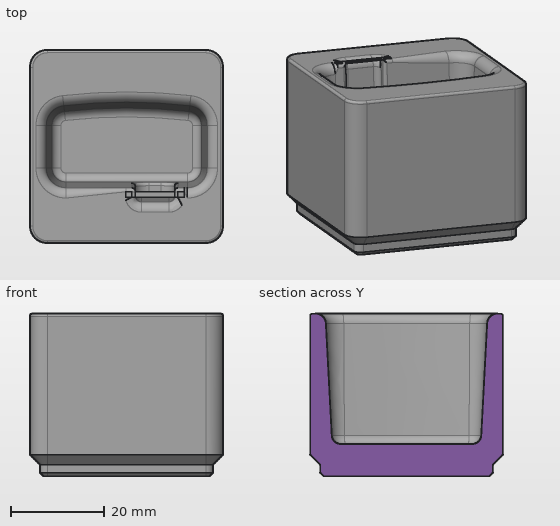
import cadquery as cq
import math

SIDE = 41.5
HEIGHT = 35.0
CORNER_R = 3.75
TOP_EDGE_R = 0.6
FOOT_CHAMFER = 0.8
FOOT_TOP_Z = 2.55
BODY_BOTTOM_Z = 4.7
FOOT_INSET = BODY_BOTTOM_Z - FOOT_TOP_Z

RIM_R = 2.2

DRAFT = 3.0
POCKET_FLOOR_Z = 7.0
POCKET_DEPTH = HEIGHT - POCKET_FLOOR_Z
POCKET_CORNER_R = 4.35
POCKET_CORNER_X = 13.05
POCKET_CORNER_Y = 4.55
BACK_BOW = 0.75
POCKET_FLOOR_R = 1.9
POCKET_FRONT_Y = -POCKET_CORNER_Y - POCKET_CORNER_R

NOTCH_X = 6.1
NOTCH_WIDTH = 8.45
NOTCH_FRONT_Y = -11.95
NOTCH_CORNER_R = 1.3
NOTCH_BOTTOM_Z = 11.6
NOTCH_BOTTOM_R = 2.95
WINDOW_EDGE_R = 0.7

BAR_LENGTH = 12.55
BAR_WIDTH = 1.2
BAR_BACK_Y = -9.65
BAR_FRONT_Y = BAR_BACK_Y - BAR_WIDTH
BAR_THICKNESS = 0.2
BAR_END_LENGTH = 1.33
BAR_END_DEPTH = 0.1
BAR_LEFT_X = NOTCH_X - BAR_LENGTH / 2
BAR_RIGHT_X = NOTCH_X + BAR_LENGTH / 2

NOTCH_RIM_LEFT_X = 1.1
NOTCH_RIM_RIGHT_X = 11.0
NOTCH_RIM_LEFT_SLANT = 0.65
NOTCH_RIM_RIGHT_SLANT = 2.57

NARROW_RIM = POCKET_FRONT_Y - BAR_BACK_Y


def box_between(x0, x1, y0, y1, z0, z1):
    corner = cq.Vector(x0, y0, z0)
    return cq.Workplane(cq.Solid.makeBox(x1 - x0, y1 - y0, z1 - z0, corner))


def rounded_square(side, radius, z, height):
    square = cq.Workplane("XY", origin=(0, 0, z)).rect(side, side).extrude(height)
    return square.edges("|Z").fillet(radius)


def make_body():
    foot_side = SIDE - 2 * FOOT_INSET
    foot_r = CORNER_R - FOOT_INSET
    foot = rounded_square(foot_side, foot_r, 0, BODY_BOTTOM_Z)
    foot = foot.faces("<Z").chamfer(FOOT_CHAMFER)
    block = rounded_square(SIDE, CORNER_R, FOOT_TOP_Z, HEIGHT - FOOT_TOP_Z)
    block = block.faces("<Z").chamfer(FOOT_INSET)
    block = block.faces(">Z").edges().fillet(TOP_EDGE_R)
    return foot.union(block)


def pocket_solid():
    """Pocket outline at the top face, drafted inward down to the floor."""
    r = POCKET_CORNER_R
    cx = POCKET_CORNER_X
    cy = POCKET_CORNER_Y
    bow_angle = 2 * math.atan(BACK_BOW / cx)
    back_x = cx + r * math.sin(bow_angle)
    back_y = cy + r * math.cos(bow_angle)
    mid_angle = (math.pi / 2 + bow_angle) / 2
    mid_x = cx + r * math.sin(mid_angle)
    mid_y = cy + r * math.cos(mid_angle)
    mid_front = r * math.sqrt(0.5)
    outline = (
        cq.Workplane("XY", origin=(0, 0, HEIGHT))
        .moveTo(-cx, -cy - r)
        .lineTo(cx, -cy - r)
        .threePointArc((cx + mid_front, -cy - mid_front), (cx + r, -cy))
        .lineTo(cx + r, cy)
        .threePointArc((mid_x, mid_y), (back_x, back_y))
        .threePointArc((0, cy + BACK_BOW + r), (-back_x, back_y))
        .threePointArc((-mid_x, mid_y), (-cx - r, cy))
        .lineTo(-cx - r, -cy)
        .threePointArc((-cx - mid_front, -cy - mid_front), (-cx, -cy - r))
        .close()
    )
    return outline.extrude(-POCKET_DEPTH, taper=DRAFT)


def notch_solid():
    """U profile with a drafted front end that opens into the pocket."""
    depth = HEIGHT - NOTCH_BOTTOM_Z
    left_x = NOTCH_X - NOTCH_WIDTH / 2
    right_x = NOTCH_X + NOTCH_WIDTH / 2
    open_y = POCKET_FRONT_Y + RIM_R
    front_bottom_y = NOTCH_FRONT_Y + depth * math.tan(math.radians(DRAFT))
    slot = (
        cq.Workplane("YZ", origin=(left_x, 0, 0))
        .moveTo(NOTCH_FRONT_Y, HEIGHT)
        .lineTo(open_y, HEIGHT)
        .lineTo(open_y, NOTCH_BOTTOM_Z)
        .lineTo(front_bottom_y, NOTCH_BOTTOM_Z)
        .close()
        .extrude(NOTCH_WIDTH)
    )
    slot = slot.faces("<Y").edges("not |X").fillet(NOTCH_CORNER_R)
    u_shape = box_between(left_x, right_x, NOTCH_FRONT_Y, open_y, NOTCH_BOTTOM_Z, HEIGHT)
    u_shape = u_shape.edges("<Z and |Y").fillet(NOTCH_BOTTOM_R)
    return slot.intersect(u_shape)


def with_rounded_rim(opening):
    """The opening widened by the rounding of its whole top edge."""
    block = box_between(-SIDE, SIDE, -SIDE, SIDE, -SIDE, HEIGHT).cut(opening)
    top_edges = block.faces(">Z").val().innerWires()[0].Edges()
    rounded_block = cq.Workplane(block.val().fillet(RIM_R, top_edges))
    half = SIDE / 2
    return box_between(-half, half, -half, half, 0, HEIGHT).cut(rounded_block)


def rim_profile(x, extent):
    """Section across the front rim; extent is its reach onto the top face."""
    draft = math.radians(DRAFT)
    radius = extent / math.tan(math.pi / 4 - draft / 2)
    center_y = POCKET_FRONT_Y - extent
    center_z = HEIGHT - radius
    mid = (math.pi / 2 + draft) / 2
    wall_y = center_y + radius * math.cos(draft)
    wall_z = center_z + radius * math.sin(draft)
    profile = (
        cq.Workplane("YZ", origin=(x, 0, 0))
        .moveTo(center_y, HEIGHT)
        .threePointArc(
            (center_y + radius * math.cos(mid), center_z + radius * math.sin(mid)),
            (wall_y, wall_z),
        )
        .lineTo(POCKET_FRONT_Y + extent, wall_z)
        .lineTo(POCKET_FRONT_Y + extent, HEIGHT)
        .close()
    )
    return profile.val()


def front_rim():
    """Front stretch of the pocket rim: narrow at the bar, full size at both corners."""
    full = RIM_R * math.tan(math.pi / 4 - math.radians(DRAFT) / 2)
    sections = [
        rim_profile(-POCKET_CORNER_X, full),
        rim_profile(BAR_LEFT_X, NARROW_RIM),
        rim_profile(BAR_RIGHT_X, NARROW_RIM),
        rim_profile(POCKET_CORNER_X, full),
    ]
    return cq.Workplane(cq.Solid.makeLoft(sections, True))


def round_window(body):
    """Round the window that the notch leaves in the front wall of the pocket."""
    reach = NOTCH_WIDTH / 2 + WINDOW_EDGE_R
    near = (NOTCH_X - reach, POCKET_FRONT_Y - WINDOW_EDGE_R, NOTCH_BOTTOM_Z - WINDOW_EDGE_R)
    far = (NOTCH_X + reach, -POCKET_CORNER_Y, HEIGHT - WINDOW_EDGE_R)
    window = cq.selectors.BoxSelector(near, far)
    return body.edges(window).fillet(WINDOW_EDGE_R)


def notch_rim_zone():
    """Stretch of the notch rim that is rounded, ending on a slant at each side of the bar."""
    zone = (
        cq.Workplane("XY")
        .moveTo(NOTCH_RIM_LEFT_X, BAR_FRONT_Y)
        .lineTo(BAR_LEFT_X, BAR_FRONT_Y - NOTCH_RIM_LEFT_SLANT)
        .lineTo(BAR_LEFT_X, -SIDE)
        .lineTo(BAR_RIGHT_X, -SIDE)
        .lineTo(BAR_RIGHT_X, BAR_FRONT_Y - NOTCH_RIM_RIGHT_SLANT)
        .lineTo(NOTCH_RIM_RIGHT_X, BAR_FRONT_Y)
        .close()
    )
    return zone.extrude(HEIGHT)


def pocket_opening():
    """Pocket with its rim rounded everywhere except along the front."""
    pocket = pocket_solid().faces("<Z").edges().fillet(POCKET_FLOOR_R)
    front_zone = box_between(
        -POCKET_CORNER_X, POCKET_CORNER_X, -SIDE, -POCKET_CORNER_Y, 0, HEIGHT
    )
    rounded_part = with_rounded_rim(pocket).cut(front_zone)
    return rounded_part.union(pocket.intersect(front_zone))


def add_bar(body):
    bar = box_between(
        BAR_LEFT_X, BAR_RIGHT_X, BAR_FRONT_Y, BAR_BACK_Y, HEIGHT - BAR_THICKNESS, HEIGHT
    )
    body = body.union(bar)
    for start_x in (BAR_LEFT_X, BAR_RIGHT_X - BAR_END_LENGTH):
        end_x = start_x + BAR_END_LENGTH
        end_recess = box_between(
            start_x, end_x, BAR_FRONT_Y, BAR_BACK_Y, HEIGHT - BAR_END_DEPTH, HEIGHT
        )
        body = body.cut(end_recess)
    return body


notch = notch_solid()
notch_rim = with_rounded_rim(notch).intersect(notch_rim_zone())

result = make_body().cut(pocket_opening()).cut(notch)
result = round_window(result)
result = result.cut(front_rim()).cut(notch_rim)
result = add_bar(result)